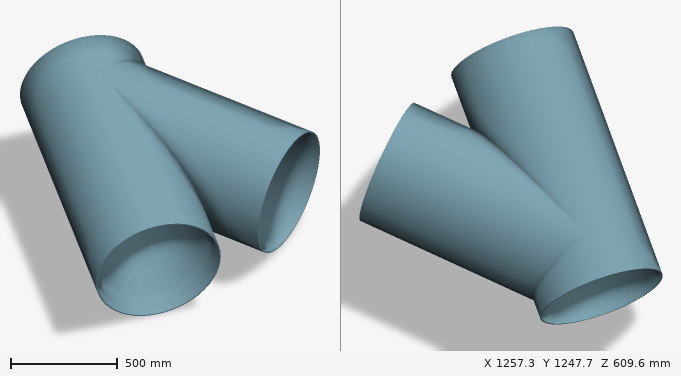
import cadquery as cq

outer_diameter = 609.6
inner_diameter = 596.9

branch_angle = 45.0
inlet_length = 228.6
outlet_length = 1028.7
branch_length = outlet_length


def run_cylinder(diameter):
    """Cylinder along X over the full length of the run."""
    return (
        cq.Workplane("YZ", origin=(-inlet_length, 0, 0))
        .circle(diameter / 2)
        .extrude(inlet_length + outlet_length)
    )


def branch_cylinder(diameter):
    """Cylinder from the crossing point out along the inclined branch axis."""
    return (
        cq.Workplane("YZ")
        .circle(diameter / 2)
        .extrude(branch_length)
        .rotate((0, 0, 0), (0, 0, 1), branch_angle)
    )


def lateral(diameter):
    """Run and branch cylinders of one diameter joined together."""
    return run_cylinder(diameter).union(branch_cylinder(diameter))


result = lateral(outer_diameter).cut(lateral(inner_diameter))